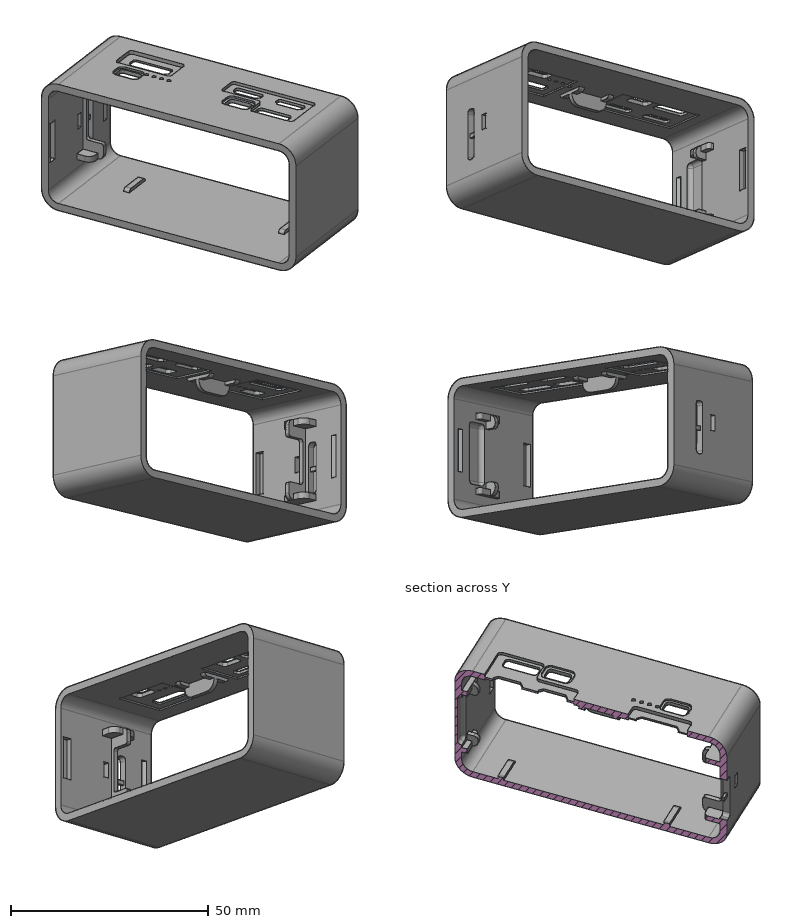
import cadquery as cq

LENGTH = 75.0
DEPTH = 31.0
HEIGHT = 36.0
WALL = 2.0
CORNER_R = 5.0

INNER_X = LENGTH / 2 - WALL
INNER_Z = HEIGHT / 2 - WALL
EMBED = WALL / 2

PLATE_FRONT = 1.8
PLATE_BACK = 3.0
RIB_FRONT = -1.3
RIB_BACK = 6.75
RIB_WIDTH = 1.65
RIB_HEIGHT = 0.9
RIB_END_R = 1.0

STOP_TOP_Z = 10.5

BRACKET_REACH = 6.0
BRACKET_SPINE = 1.0
BRACKET_NOTCH_Z = 5.9
BRACKET_OUTER_R = 1.6
BRACKET_INNER_R = 0.7
BRACKET_RIB_REACH = 4.4
BRACKET_RIB_R = 2.0

TAB_REACH = 3.15
TAB_INNER_Z = 6.9
TAB_OUTER_R = 2.1
TAB_INNER_R = 1.2
TAB_RIB_REACH = 1.5

TOP_TAB_X = -2.2
TOP_TAB_WIDTH = 11.1
TOP_TAB_DROP = 3.8
TOP_TAB_R = 2.8

FLOOR_RIB_XS = (-20.85, 24.75)

PORT_WALL = 1.6
STEP_RECESS_DEPTH = 0.8
STEP_LEFT_X = 4.65
STEP_INNER_X = 16.6
STEP_RIGHT_X = 29.25
STEP_TOP_Y = 8.6
LARGE_RECESS_DEPTH = 1.05
LARGE_RECESS_X = (-26.55, -10.3)
LARGE_RECESS_TOP_Y = 10.3
RECESS_R = 1.0
PORT_TOP_R = 0.7
PORT_TOP_Y = 7.35
PORT_BOTTOM_Y = 4.65
PORT_CHAMFER = 1.0
SMALL_PORT_XS = ((6.6, 14.6), (19.05, 27.0))
LARGE_PORT_X = (-24.0, -12.45)
LARGE_PORT_TOP_Y = 8.0
LOWER_EDGE_Y = -3.3
SHARED_EDGE_Y = 2.6
HOLLOW_BOTTOM_Y = -3.5
USB_LEFT_X = (-23.6, -17.2)
USB_LEFT_RIM = 0.6
USB_RIGHT_X = (8.7, 15.3)
USB_RIGHT_RIM = 0.75
USB_TOP_Y = 0.8
USB_BOTTOM_Y = -2.8
USB_R = 1.0
USB_RIM_R = 1.5
USB_RIM_DEPTH = 0.5
CARD_X = (17.25, 26.85)
CARD_BOTTOM_Y = -2.4

LIGHT_COUNT = 4
LIGHT_DIAMETER = 1.0
LIGHT_PITCH = 2.2
LIGHT_FIRST_X = -16.0
LIGHT_Y = 0.6

SLOT_Y = (4.1, 6.7)
SLOT_Z = (-8.7, 4.95)
SLOT_R = 1.0
BRIDGE_HEIGHT = 1.1
BRIDGE_SETBACK = 0.75
BRIDGE_THICKNESS = 0.7
SWITCH_Y = (-0.7, 0.8)
SWITCH_HALF_HEIGHT = 2.0

POCKET_Y = (3.45, 9.45)
POCKET_HALF_HEIGHT = 8.0
POCKET_DEPTH = 1.2
POCKET_R = 1.1
GROOVE_Y = -13.3
GROOVE_WIDTH = 2.5
GROOVE_LENGTH = 11.0
GROOVE_DEPTH = 1.5
NOTCH_Y = 13.0
NOTCH_DEPTH = 0.8


def block(x_range, y_range, z_range):
    """Box between two positions along each axis."""
    sizes = [abs(high - low) for low, high in (x_range, y_range, z_range)]
    corner = [min(span) for span in (x_range, y_range, z_range)]
    return cq.Workplane("XY").box(*sizes, centered=False).translate(tuple(corner))


def sleeve():
    outer = block((-LENGTH / 2, LENGTH / 2), (-DEPTH / 2, DEPTH / 2), (-HEIGHT / 2, HEIGHT / 2))
    inner = block((-INNER_X, INNER_X), (-DEPTH / 2, DEPTH / 2), (-INNER_Z, INNER_Z))
    outer = outer.edges("|Y").fillet(CORNER_R)
    inner = inner.edges("|Y").fillet(CORNER_R - WALL)
    return outer.cut(inner)


def mirrored_z(shape):
    return shape.union(shape.mirror("XY"))


def left_bracket():
    plate_y = (PLATE_FRONT, PLATE_BACK)
    tip_x = -INNER_X + BRACKET_REACH
    spine_x = -INNER_X + BRACKET_SPINE
    plate = block((-INNER_X - EMBED, tip_x), plate_y, (-STOP_TOP_Z, STOP_TOP_Z))
    plate = plate.edges("|Y and >X").fillet(BRACKET_OUTER_R)
    notch = block((spine_x, tip_x), plate_y, (-BRACKET_NOTCH_Z, BRACKET_NOTCH_Z))
    plate = plate.cut(notch)
    for x in (spine_x, tip_x):
        for z in (-BRACKET_NOTCH_Z, BRACKET_NOTCH_Z):
            corner = cq.selectors.NearestToPointSelector((x, (PLATE_FRONT + PLATE_BACK) / 2, z))
            plate = plate.edges("|Y").edges(corner).fillet(BRACKET_INNER_R)
    rib = block(
        (-INNER_X - EMBED, -INNER_X + BRACKET_RIB_REACH),
        (RIB_FRONT, RIB_BACK),
        (STOP_TOP_Z - RIB_WIDTH, STOP_TOP_Z),
    )
    rib = rib.edges("|Z and >X").fillet(BRACKET_RIB_R)
    return plate.union(mirrored_z(rib))


def right_tabs():
    tab = block(
        (INNER_X - TAB_REACH, INNER_X + EMBED),
        (PLATE_FRONT, PLATE_BACK),
        (TAB_INNER_Z, STOP_TOP_Z),
    )
    tab = tab.edges("|Y and <X and >Z").fillet(TAB_OUTER_R)
    tab = tab.edges("|Y and <Z and <X").fillet(TAB_INNER_R)
    rib = block(
        (INNER_X - TAB_RIB_REACH, INNER_X + EMBED),
        (RIB_FRONT, RIB_BACK),
        (STOP_TOP_Z - RIB_WIDTH, STOP_TOP_Z),
    )
    rib = rib.edges("|Z and <X").fillet(RIB_END_R)
    return mirrored_z(tab.union(rib))


def floor_rib(x):
    """Rib along Y, standing on the floor and rounded at both ends."""
    rib = block(
        (x - RIB_WIDTH / 2, x + RIB_WIDTH / 2),
        (RIB_FRONT, RIB_BACK),
        (-INNER_Z - EMBED, -INNER_Z + RIB_HEIGHT),
    )
    return rib.edges("|X and >Z").fillet(RIB_END_R)


def top_tab():
    half_width = TOP_TAB_WIDTH / 2
    tab = block(
        (TOP_TAB_X - half_width, TOP_TAB_X + half_width),
        (PLATE_FRONT, PLATE_BACK),
        (INNER_Z - TOP_TAB_DROP, INNER_Z + EMBED),
    )
    tab = tab.edges("|Y and <Z").fillet(TOP_TAB_R)
    for side in (-1, 1):
        rib_x = TOP_TAB_X + side * (half_width - RIB_WIDTH / 2)
        tab = tab.union(floor_rib(rib_x).mirror("XY"))
    return tab


def top_cut(x_range, y_range, depth, radius):
    """Rounded rectangular cut going down from the top face."""
    cut = block(x_range, y_range, (HEIGHT / 2 - depth, HEIGHT / 2))
    return cut.edges("|Z").fillet(radius)


def video_port(x_range, top_y):
    """Opening through the top wall with its two lower corners cut off."""
    port = block(x_range, (PORT_BOTTOM_Y, top_y), (INNER_Z, HEIGHT / 2))
    port = port.edges("|Z and <Y").chamfer(PORT_CHAMFER)
    return port.edges("|Z and >Y").fillet(PORT_TOP_R)


def usb_rim(x_range, rim):
    """Stepped rim around a USB opening."""
    rim_x = (x_range[0] - rim, x_range[1] + rim)
    rim_y = (USB_BOTTOM_Y - rim, USB_TOP_Y + rim)
    return top_cut(rim_x, rim_y, USB_RIM_DEPTH, USB_RIM_R)


def step_recess():
    """L-shaped recess around three ports."""
    outline = [
        (STEP_LEFT_X, STEP_TOP_Y),
        (STEP_RIGHT_X, STEP_TOP_Y),
        (STEP_RIGHT_X, LOWER_EDGE_Y),
        (STEP_INNER_X, LOWER_EDGE_Y),
        (STEP_INNER_X, SHARED_EDGE_Y),
        (STEP_LEFT_X, SHARED_EDGE_Y),
    ]
    top = cq.Workplane("XY", origin=(0, 0, HEIGHT / 2))
    recess = top.polyline(outline).close().extrude(-STEP_RECESS_DEPTH)
    return recess.edges("|Z").fillet(RECESS_R)


def inside_hollow(x_range, top_y):
    """Shallow hollow in the ceiling that thins the wall behind a group of ports."""
    return block(x_range, (HOLLOW_BOTTOM_Y, top_y), (INNER_Z, HEIGHT / 2 - PORT_WALL))


def lights():
    centres = [(LIGHT_FIRST_X + i * LIGHT_PITCH, LIGHT_Y) for i in range(LIGHT_COUNT)]
    top = cq.Workplane("XY", origin=(0, 0, HEIGHT / 2))
    return top.pushPoints(centres).circle(LIGHT_DIAMETER / 2).extrude(-WALL)


def left_wall_cuts():
    wall_x = (-LENGTH / 2, -INNER_X)
    slot = block(wall_x, SLOT_Y, SLOT_Z).edges("|X").fillet(SLOT_R)
    middle = sum(SLOT_Z) / 2
    bridge_x = -LENGTH / 2 + BRIDGE_SETBACK
    bridge = block(
        (bridge_x, bridge_x + BRIDGE_THICKNESS),
        SLOT_Y,
        (middle - BRIDGE_HEIGHT / 2, middle + BRIDGE_HEIGHT / 2),
    )
    switch = block(wall_x, SWITCH_Y, (-SWITCH_HALF_HEIGHT, SWITCH_HALF_HEIGHT))
    return slot.cut(bridge).union(switch)


def right_wall_pocket():
    """Pocket inside the right wall, rounded along its floor and corners."""
    pocket = block(
        (INNER_X - POCKET_R, INNER_X + POCKET_DEPTH),
        POCKET_Y,
        (-POCKET_HALF_HEIGHT, POCKET_HALF_HEIGHT),
    )
    return pocket.edges("|X or >X").fillet(POCKET_R)


def end_grooves():
    """Upright grooves inside both end walls: square ones at the front, V-shaped ones at the back."""
    half_length = GROOVE_LENGTH / 2
    groove = block(
        (INNER_X - EMBED, INNER_X + GROOVE_DEPTH),
        (GROOVE_Y - GROOVE_WIDTH / 2, GROOVE_Y + GROOVE_WIDTH / 2),
        (-half_length, half_length),
    )
    notch_outline = [
        (INNER_X, NOTCH_Y - NOTCH_DEPTH),
        (INNER_X + NOTCH_DEPTH, NOTCH_Y),
        (INNER_X, NOTCH_Y + NOTCH_DEPTH),
    ]
    notch = cq.Workplane("XY", origin=(0, 0, -half_length)).polyline(notch_outline).close()
    grooves = groove.union(notch.extrude(GROOVE_LENGTH))
    return grooves.union(grooves.mirror("YZ"))


body = sleeve()

body = body.cut(right_wall_pocket()).cut(end_grooves()).cut(left_wall_cuts())

body = body.cut(inside_hollow(LARGE_RECESS_X, LARGE_RECESS_TOP_Y))
body = body.cut(inside_hollow((STEP_LEFT_X, STEP_RIGHT_X), STEP_TOP_Y))
large_recess_y = (SHARED_EDGE_Y, LARGE_RECESS_TOP_Y)
body = body.cut(top_cut(LARGE_RECESS_X, large_recess_y, LARGE_RECESS_DEPTH, RECESS_R))
body = body.cut(step_recess())
for usb_x, rim in ((USB_LEFT_X, USB_LEFT_RIM), (USB_RIGHT_X, USB_RIGHT_RIM)):
    body = body.cut(usb_rim(usb_x, rim))
    body = body.cut(top_cut(usb_x, (USB_BOTTOM_Y, USB_TOP_Y), WALL, USB_R))
body = body.cut(video_port(LARGE_PORT_X, LARGE_PORT_TOP_Y))
for port_x in SMALL_PORT_XS:
    body = body.cut(video_port(port_x, PORT_TOP_Y))
body = body.cut(top_cut(CARD_X, (CARD_BOTTOM_Y, USB_TOP_Y), WALL, RECESS_R))
body = body.cut(lights())

body = body.union(left_bracket()).union(right_tabs()).union(top_tab())
for floor_rib_x in FLOOR_RIB_XS:
    body = body.union(floor_rib(floor_rib_x))

result = body